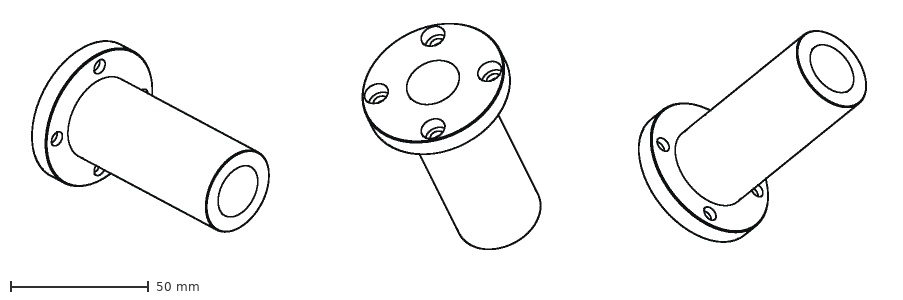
import cadquery as cq

length = 80.0
flange_diameter = 54.0
flange_thickness = 7.8
body_diameter = 32.0
bore_diameter = 20.0

flange_chamfer = 0.4
body_chamfer = 0.3

hole_count = 4
hole_circle_diameter = 43.0
hole_diameter = 5.5
counterbore_diameter = 9.0
counterbore_depth = 5.1


def make_flange():
    """Disc at the -X end with both rims chamfered."""
    disc = cq.Workplane("YZ").circle(flange_diameter / 2).extrude(flange_thickness)
    return disc.edges().chamfer(flange_chamfer)


def make_body():
    """Cylinder over the full length with its free end chamfered."""
    cylinder = cq.Workplane("YZ").circle(body_diameter / 2).extrude(length)
    return cylinder.faces(">X").edges().chamfer(body_chamfer)


def make_mounting_holes():
    """Cutters for the holes, counterbored from the outer flange face."""
    pattern = cq.Workplane("YZ").polarArray(hole_circle_diameter / 2, 0, 360, hole_count)
    through_holes = pattern.circle(hole_diameter / 2).extrude(flange_thickness)
    pattern = cq.Workplane("YZ").polarArray(hole_circle_diameter / 2, 0, 360, hole_count)
    counterbores = pattern.circle(counterbore_diameter / 2).extrude(counterbore_depth)
    return through_holes.union(counterbores)


bore = cq.Workplane("YZ").circle(bore_diameter / 2).extrude(length)

result = make_flange().union(make_body()).cut(bore).cut(make_mounting_holes())